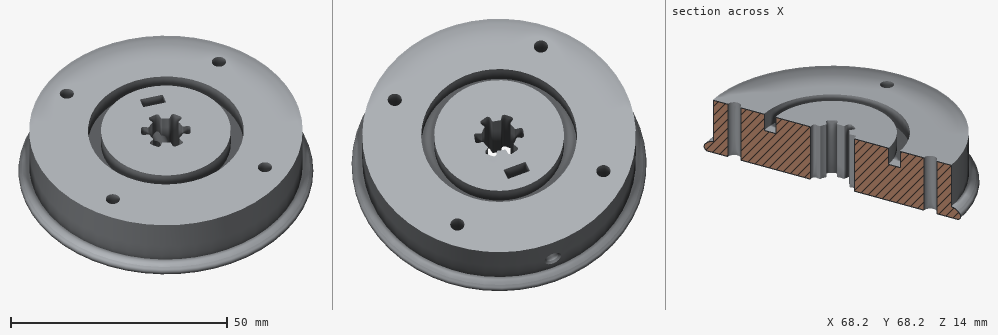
import cadquery as cq
import math

height = 14.0
drum_radius = 63.25 / 2
flange_radius = 34.1

bead_radius = 1.0
band_lower_radius = 33.75
band_lower_height = 1.85
band_upper_radius = 33.35
band_upper_height = 2.25
shoulder_height = 3.0

groove_outer_diameter = 36.0
groove_inner_diameter = 30.0
groove_depth = 4.3

mount_hole_count = 4
mount_hole_diameter = 3.3
mount_circle_radius = 26.0

spline_count = 6
core_radius = 4.0
spline_radius = 5.7
spline_center_width = 0.9
spline_tip_width = 2.9
spline_tip_fillet = 0.6
spline_root_fillet = 0.35

screw_angle = 135
screw_height = height / 2
screw_diameter = 3.2
screw_sink_diameter = 4.3
nut_slot_distance = 10.3
nut_slot_length = 5.5
nut_slot_width = 2.65


def make_body():
    profile = (
        cq.Workplane("XZ")
        .lineTo(flange_radius - bead_radius, 0)
        .threePointArc((flange_radius, bead_radius), (band_lower_radius, band_lower_height))
        .lineTo(band_upper_radius, band_upper_height)
        .tangentArcPoint((drum_radius, shoulder_height), relative=False)
        .lineTo(drum_radius, height)
        .lineTo(0, height)
        .close()
    )
    return profile.revolve(360, (0, 0, 0), (0, 1, 0))


def make_groove():
    return (
        cq.Workplane("XY", origin=(0, 0, height - groove_depth))
        .circle(groove_outer_diameter / 2)
        .circle(groove_inner_diameter / 2)
        .extrude(groove_depth)
    )


def make_mount_holes():
    return (
        cq.Workplane("XY")
        .polarArray(mount_circle_radius, 0, 360, mount_hole_count)
        .circle(mount_hole_diameter / 2)
        .extrude(height)
    )


def make_splined_bore():
    bore = cq.Workplane("XY").circle(core_radius).extrude(height)
    slot = (
        cq.Workplane("XY")
        .lineTo(0, -spline_center_width / 2)
        .lineTo(spline_radius, -spline_tip_width / 2)
        .lineTo(spline_radius, spline_tip_width / 2)
        .lineTo(0, spline_center_width / 2)
        .close()
        .extrude(height)
        .edges("|Z and >X")
        .fillet(spline_tip_fillet)
    )
    for index in range(spline_count):
        angle = 90 + index * 360 / spline_count
        bore = bore.union(slot.rotate((0, 0, 0), (0, 0, 1), angle))
    mouth_edges = bore.edges("|Z").filter(
        lambda edge: math.hypot(edge.Center().x, edge.Center().y) < core_radius + spline_root_fillet
    )
    return mouth_edges.fillet(spline_root_fillet)


def make_screw_hole():
    sink_depth = (screw_sink_diameter - screw_diameter) / 2
    hole = (
        cq.Workplane("YZ", origin=(0, 0, screw_height))
        .circle(screw_diameter / 2)
        .extrude(drum_radius)
    )
    sink = (
        cq.Workplane("XY")
        .moveTo(drum_radius - sink_depth, 0)
        .lineTo(drum_radius - sink_depth, screw_diameter / 2)
        .lineTo(drum_radius, screw_sink_diameter / 2)
        .lineTo(drum_radius, 0)
        .close()
        .revolve(360, (0, 0, 0), (1, 0, 0))
        .translate((0, 0, screw_height))
    )
    return hole.union(sink).rotate((0, 0, 0), (0, 0, 1), screw_angle)


def make_nut_slot():
    return (
        cq.Workplane("XY")
        .center(nut_slot_distance, 0)
        .rect(nut_slot_width, nut_slot_length)
        .extrude(height)
        .rotate((0, 0, 0), (0, 0, 1), screw_angle)
    )


result = (
    make_body()
    .cut(make_groove())
    .cut(make_mount_holes())
    .cut(make_splined_bore())
    .cut(make_screw_hole())
    .cut(make_nut_slot())
)